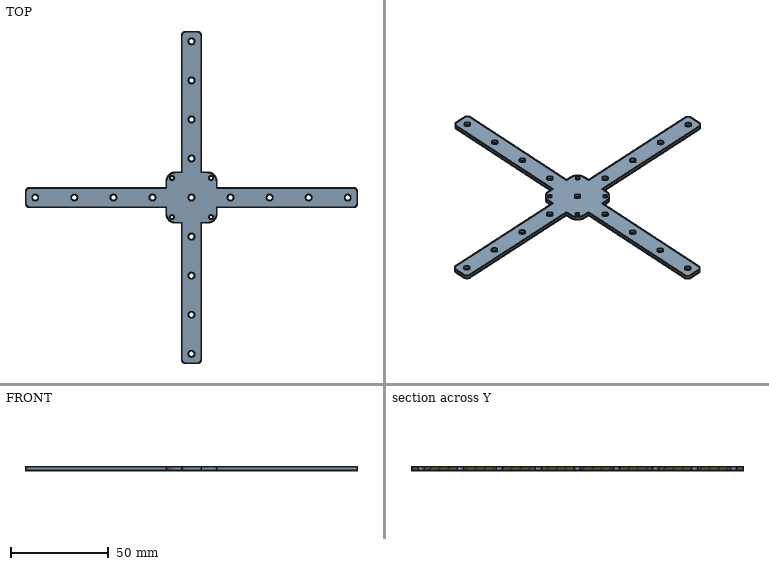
import cadquery as cq

span = 170.0
thickness = 2.0

arm_width = 10.0
arm_end_radius = 2.0
arm_hole_diameter = 3.0
holes_per_half_arm = 4
end_hole_margin = 5.0
hole_pitch = (span / 2 - end_hole_margin) / holes_per_half_arm

hub_width = 26.0
hub_corner_radius = 5.0
hub_hole_diameter = 2.0
hub_hole_spacing = 20.0


def rounded_plate(length, width, corner_radius):
    """Flat plate standing on Z = 0, with rounded vertical edges."""
    plate = cq.Workplane("XY").rect(length, width).extrude(thickness)
    return plate.edges("|Z").fillet(corner_radius)


def arm_hole_centers():
    """Evenly pitched holes along both arms, sharing the central one."""
    centers = [(0, 0)]
    for index in range(1, holes_per_half_arm + 1):
        distance = index * hole_pitch
        centers += [(distance, 0), (-distance, 0), (0, distance), (0, -distance)]
    return centers


x_arm = rounded_plate(span, arm_width, arm_end_radius)
y_arm = rounded_plate(arm_width, span, arm_end_radius)
hub = rounded_plate(hub_width, hub_width, hub_corner_radius)
body = hub.union(x_arm).union(y_arm)

arm_holes = (
    cq.Workplane("XY")
    .pushPoints(arm_hole_centers())
    .circle(arm_hole_diameter / 2)
    .extrude(thickness)
)
hub_holes = (
    cq.Workplane("XY")
    .rect(hub_hole_spacing, hub_hole_spacing, forConstruction=True)
    .vertices()
    .circle(hub_hole_diameter / 2)
    .extrude(thickness)
)

result = body.cut(arm_holes).cut(hub_holes)